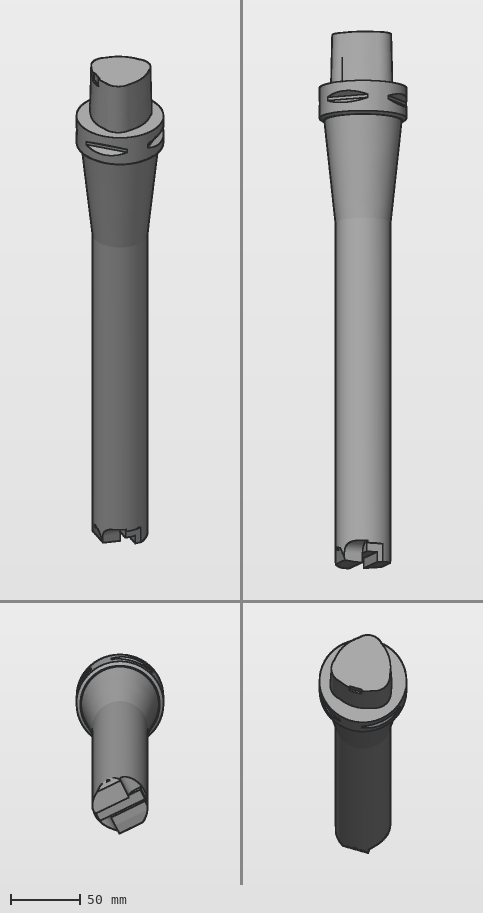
import cadquery as cq
import math

total_length = 388.0
flange_top = 350.0
flange_bottom = 328.0
cone_top = 326.0
cone_bottom = 251.5

flange_radius = 63.0 / 2
flange_underside_radius = 57.5 / 2
cone_top_radius = 56.0 / 2
shaft_radius = 40.0 / 2

lobe_reach = 24.0
side_reach = 20.5
seam_half_width = 12.5
seam_offset = 18.0
coupling_taper = 1.4

key_width = 9.0
key_height = 6.2
key_floor_offset = 18.2

groove_count = 4
groove_z = 338.7
groove_half_height = 4.3
groove_floor_half_height = 1.0
groove_floor = 27.0

head_half_width = 18.2
sloped_flat_offset = 17.0
flat_top = 13.5
slot_half_width = 4.0
slot_height = 7.5
pocket_wall = 9.1
pocket_top = 15.0
pocket_cove_radius = 7.8
end_relief = 2.0
rear_lip_setback = 0.8

outlet_diameter = 2.5
outlet_z = 11.3
outlet_floor_offset = 14.7


def on_coupling(x, y, turns):
    """Turn a point of the coupling outline by whole thirds of a revolution."""
    angle = turns * math.radians(120)
    return (
        x * math.cos(angle) - y * math.sin(angle),
        x * math.sin(angle) + y * math.cos(angle),
    )


def make_body():
    outline = [
        (0, 0),
        (shaft_radius, 0),
        (shaft_radius, cone_bottom),
        (cone_top_radius, cone_top),
        (flange_underside_radius, cone_top),
        (flange_radius, flange_bottom),
        (flange_radius, flange_top),
        (0, flange_top),
    ]
    return cq.Workplane("XZ").polyline(outline).close().revolve(360, (0, 0), (0, 1))


def make_coupling():
    sketch = cq.Workplane("XY", origin=(0, 0, flange_top))
    sketch = sketch.moveTo(-seam_half_width, -seam_offset)
    for turns in range(3):
        side_middle = on_coupling(0, -side_reach, turns)
        side_end = on_coupling(seam_half_width, -seam_offset, turns)
        lobe_middle = on_coupling(0, lobe_reach, turns + 2)
        lobe_end = on_coupling(-seam_half_width, -seam_offset, turns + 1)
        sketch = sketch.threePointArc(side_middle, side_end)
        sketch = sketch.threePointArc(lobe_middle, lobe_end)
    coupling = sketch.close().extrude(total_length - flange_top, taper=coupling_taper)
    recess = cq.Workplane("XY").box(
        key_width, side_reach, key_height, centered=(True, False, False)
    )
    recess_y = -key_floor_offset - side_reach
    return coupling.cut(recess.translate((0, recess_y, total_length - key_height)))


def make_gripper_groove():
    """Flat-bottomed V-groove running straight across the flange on its +X side."""
    oversize = 2
    mouth = groove_floor + oversize * (flange_radius - groove_floor)
    flare = oversize * (groove_half_height - groove_floor_half_height)
    mouth_half_height = groove_floor_half_height + flare
    profile = [
        (groove_floor, groove_z - groove_floor_half_height),
        (groove_floor, groove_z + groove_floor_half_height),
        (mouth, groove_z + mouth_half_height),
        (mouth, groove_z - mouth_half_height),
    ]
    return cq.Workplane("XZ").polyline(profile).close().extrude(flange_radius, both=True)


def make_head_side_cuts():
    """Cuts for one half of the head; the other half is the same turned by 180 degrees."""
    span = 2 * shaft_radius

    side_flat = cq.Workplane("XY").box(span, span, flat_top, centered=(False, True, False))
    side_flat = side_flat.translate((head_half_width, 0, 0))

    pocket = cq.Workplane("XY").box(span, span, pocket_top, centered=False)
    pocket = pocket.edges("<X and >Z").fillet(pocket_cove_radius)
    pocket = pocket.translate((pocket_wall, -span - slot_half_width, 0))

    sloped_flat = (
        cq.Workplane("YZ")
        .polyline([(-shaft_radius, flat_top), (-sloped_flat_offset, 0), (-shaft_radius, 0)])
        .close()
        .extrude(span, both=True)
    )
    relief = (
        cq.Workplane("YZ")
        .polyline([(-slot_half_width, 0), (-shaft_radius, end_relief), (-shaft_radius, 0)])
        .close()
        .extrude(span, both=True)
    )

    outlet = (
        cq.Workplane("XZ", origin=(0, -outlet_floor_offset, outlet_z))
        .circle(outlet_diameter / 2)
        .extrude(shaft_radius)
    )
    return side_flat.union(pocket).union(sloped_flat).union(relief).union(outlet)


result = make_body().union(make_coupling())

for index in range(groove_count):
    groove_angle = (index + 0.5) * 360 / groove_count
    result = result.cut(make_gripper_groove().rotate((0, 0, 0), (0, 0, 1), groove_angle))

for head_angle in (0, 180):
    result = result.cut(make_head_side_cuts().rotate((0, 0, 0), (0, 0, 1), head_angle))

cross_slot = cq.Workplane("XY").box(
    2 * shaft_radius, 2 * slot_half_width, slot_height, centered=(True, True, False)
)
result = result.cut(cross_slot)

rear_lip_cut = cq.Workplane("XY").box(
    2 * shaft_radius, shaft_radius, rear_lip_setback, centered=(True, False, False)
)
result = result.cut(rear_lip_cut)